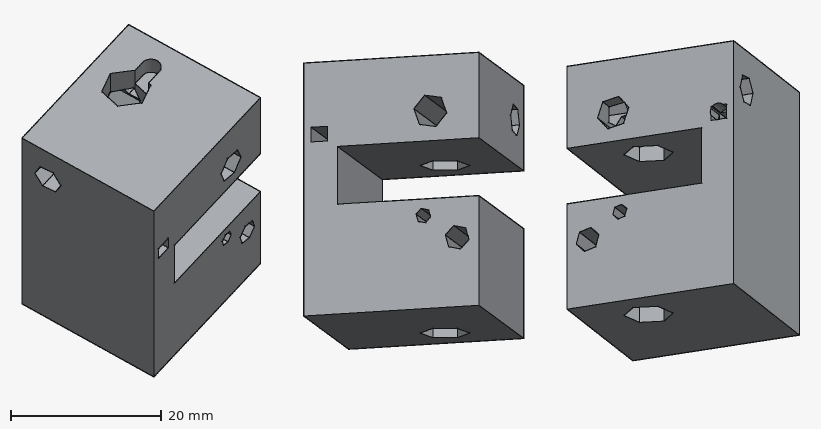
import cadquery as cq

WIDTH = 21.65
DEPTH = 24.27
HEIGHT = 34.48

MOUTH_BOTTOM = 14.95
MOUTH_TOP = 22.83
BACK_WALL = 4.7

SHAFT_X = 6.2
SHAFT_Y = 15.15
SHAFT_RADIUS = 3.3
SHAFT_TURN = -14.5

POCKET_X = 6.72
POCKET_END_Y = 20.05
POCKET_WIDTH = 2.72
POCKET_DEPTH = 2.72

FRONT_X = 4.25
FRONT_Z = 28.9
FRONT_RADIUS = 2.15
FRONT_TURN = 6.5

SIDE_HOLES = [
    (17.55, 26.9, 2.3, -10.5),
    (21.27, 9.45, 1.7, -14.0),
    (16.6, 12.7, 1.05, -14.0),
]

WINDOW_Y = 2.17
WINDOW_Z = 24.65
WINDOW_WIDTH = 2.25
WINDOW_HEIGHT = 2.0
ENTRY_Y = 2.3
ENTRY_Z = 24.85
ENTRY_RADIUS = 1.1
ENTRY_DEPTH = 2.75


def box(x_size, y_size, z_size, corner):
    """Box with its lowest corner at the given point."""
    return cq.Workplane("XY").box(x_size, y_size, z_size, centered=False).translate(corner)


def hexagon_prism(start, direction, radius, turn, length):
    """Hexagonal prism along an axis; its turn is measured from +X, or from +Y when it runs along X."""
    first_axis = (0, 1, 0) if direction[0] else (1, 0, 0)
    plane = cq.Plane(origin=start, xDir=first_axis, normal=direction)
    profile = cq.Workplane(plane).transformed(rotate=(0, 0, turn))
    return profile.polygon(6, 2 * radius).extrude(length)


def top_pocket():
    floor = HEIGHT - POCKET_DEPTH
    straight = box(
        POCKET_WIDTH,
        POCKET_END_Y - SHAFT_Y,
        POCKET_DEPTH,
        (POCKET_X - POCKET_WIDTH / 2, SHAFT_Y, floor),
    )
    plane = cq.Workplane("XY", origin=(POCKET_X, POCKET_END_Y, floor))
    return straight.union(plane.circle(POCKET_WIDTH / 2).extrude(POCKET_DEPTH))


def side_window():
    corner = (0, WINDOW_Y - WINDOW_WIDTH / 2, WINDOW_Z - WINDOW_HEIGHT / 2)
    window = box(WIDTH, WINDOW_WIDTH, WINDOW_HEIGHT, corner)
    entry = cq.Workplane("YZ", origin=(0, ENTRY_Y, ENTRY_Z)).circle(ENTRY_RADIUS).extrude(ENTRY_DEPTH)
    return window.union(entry)


result = box(WIDTH, DEPTH, HEIGHT, (0, 0, 0))
result = result.cut(box(WIDTH, DEPTH - BACK_WALL, MOUTH_TOP - MOUTH_BOTTOM, (0, BACK_WALL, MOUTH_BOTTOM)))
result = result.cut(hexagon_prism((SHAFT_X, SHAFT_Y, 0), (0, 0, 1), SHAFT_RADIUS, SHAFT_TURN, HEIGHT))
result = result.cut(top_pocket())
result = result.cut(
    hexagon_prism((FRONT_X, DEPTH, FRONT_Z), (0, -1, 0), FRONT_RADIUS, FRONT_TURN, DEPTH)
)
for y, z, radius, turn in SIDE_HOLES:
    result = result.cut(hexagon_prism((0, y, z), (1, 0, 0), radius, turn, WIDTH))
result = result.cut(side_window())